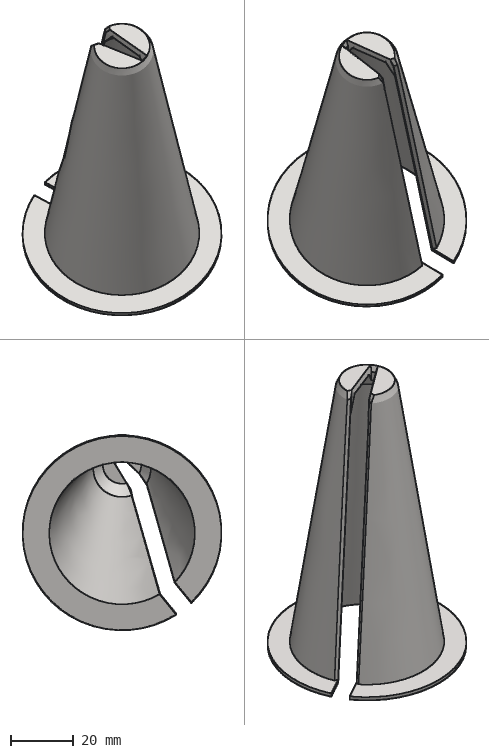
import cadquery as cq
import math

height = 101.6
flange_diameter = 63.3
flange_radius = flange_diameter / 2
flange_thickness = 1.3
base_radius = 24.6
shoulder_radius = 10.0
top_radius = 8.8
bevel_height = 2.3

wall = 1.6
cap_thickness = 2.0
cavity_top = height - cap_thickness
cavity_shoulder = 93.9
cavity_top_radius = 6.1
cone_slope = (base_radius - shoulder_radius) / (height - bevel_height - flange_thickness)
cavity_base_radius = base_radius + cone_slope * flange_thickness - wall
cavity_shoulder_radius = cavity_base_radius - cone_slope * cavity_shoulder

slot_width = 6.1
flare = 0.9
top_flare = 1.4
flare_depth = 0.9

taper_start = -9.5
taper_end = 7.8
taper_end_width = 1.4
taper_flare = 0.5
end_flare = 1.0


def revolve_profile(points):
    """Revolve an (r, z) outline around the Z axis, with its seam on the slotted -X side."""
    return cq.Workplane("XZ").polyline(points).close().revolve(360, (0, 0, 0), (0, 1, 0)).rotate(
        (0, 0, 0), (0, 0, 1), 180
    )


def make_shell():
    outside = revolve_profile([
        (0, 0),
        (flange_radius, 0),
        (flange_radius, flange_thickness),
        (base_radius, flange_thickness),
        (shoulder_radius, height - bevel_height),
        (top_radius, height),
        (0, height),
    ])
    cavity = revolve_profile([
        (0, 0),
        (cavity_base_radius, 0),
        (cavity_shoulder_radius, cavity_shoulder),
        (cavity_top_radius, cavity_top),
        (0, cavity_top),
    ])
    return outside.cut(cavity)


def make_side_slot():
    """Straight slot through the -X wall: open to the cavity, and up to the cap slot above it."""
    def slot_box(end_x, top_z):
        return (
            cq.Workplane("XY")
            .box(flange_radius + end_x, slot_width, top_z, centered=(False, True, False))
            .translate((-flange_radius, 0, 0))
        )

    return slot_box(0, cavity_shoulder).union(slot_box(taper_start, height))


def make_slot_flare():
    """Prism along the cone side that bevels both outer edges of the slot."""
    def section(radius, z, side_flare):
        half_slot = slot_width / 2
        edge = half_slot + side_flare
        edge_x = -math.sqrt(radius**2 - edge**2)
        return (
            cq.Workplane("XY", origin=(0, 0, z))
            .polyline([
                (edge_x + flare_depth, -half_slot),
                (edge_x - flare_depth, -edge - side_flare),
                (edge_x - flare_depth, edge + side_flare),
                (edge_x + flare_depth, half_slot),
            ])
            .close()
            .wires()
            .val()
        )

    shoulder_z = height - bevel_height
    base = section(base_radius, flange_thickness, flare)
    shoulder = section(shoulder_radius, shoulder_z, flare)
    top = section(top_radius, height, top_flare)
    lower = cq.Solid.makeLoft([base, shoulder], True)
    upper = cq.Solid.makeLoft([shoulder, top], True)
    return cq.Workplane(lower).union(cq.Workplane(upper))


def taper_outline(z, side_flare, extra_length):
    start = slot_width / 2 + side_flare
    end = taper_end_width / 2 + side_flare
    end_x = taper_end + extra_length
    return (
        cq.Workplane("XY", origin=(0, 0, z))
        .polyline([(taper_start, -start), (end_x, -end), (end_x, end), (taper_start, start)])
        .close()
    )


def make_cap_slot():
    """Slot narrowing toward +X, with sloped walls through the cap."""
    straight = taper_outline(cavity_shoulder, 0, 0).extrude(height - cavity_shoulder)
    sloped = cq.Solid.makeLoft(
        [
            taper_outline(cavity_top, 0, 0).wires().val(),
            taper_outline(height, taper_flare, end_flare).wires().val(),
        ],
        True,
    )
    return straight.union(cq.Workplane(sloped))


result = make_shell().cut(make_side_slot()).cut(make_slot_flare()).cut(make_cap_slot())